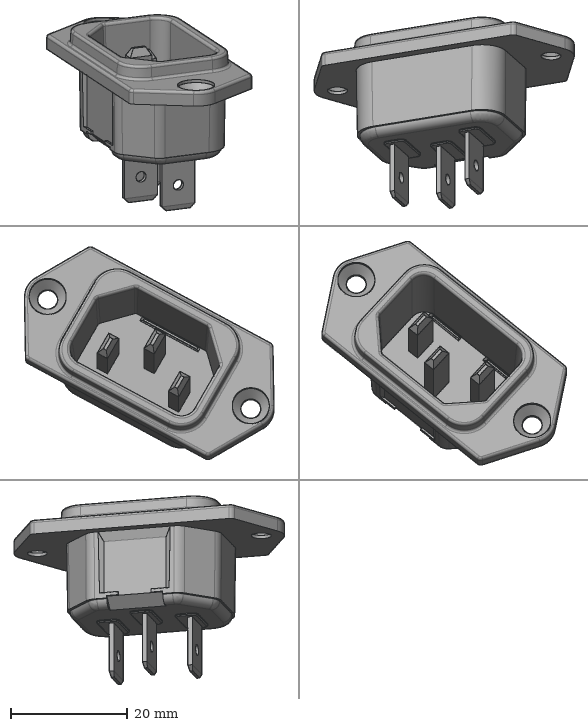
import cadquery as cq
import math

flange_length = 48.0
flange_width = 23.0
flange_thickness = 2.6
flange_edge_round = 0.55
flange_corner_round = 0.95
screw_spacing = 40.0
side_angle = math.radians(60)
screw_hole_diameter = 3.4
countersink_diameter = 6.4
countersink_angle = 90
countersink_recess = 0.55

collar_top = 5.15
collar_length = 28.05
collar_width = 20.55
collar_corner_radius = 4.55
collar_taper = 3.0
collar_rim_round = 0.5
collar_foot_round = 0.5

body_length = 27.6
body_width = 19.55
body_wall_depth = 11.95
body_depth = 13.5
body_chamfer = 5.65
body_front_round = 2.4
body_back_round = 4.4
body_taper = 0.7
base_inset = 0.35
base_round = 1.5

cavity_length = 24.2
cavity_width = 16.4
cavity_depth = 15.85
cavity_chamfer = 5.0
cavity_front_round = 0.7
cavity_back_round = 2.7
cavity_taper = 1.5
mouth_round = 0.55
cavity_floor = collar_top - cavity_depth

slot_depth = 0.95
slot_inner = 6.95
slot_outer = 7.85
slot_bevel = 0.45
front_slot_length = 11.4
back_slot_length = 6.95
back_slot_center = 6.25

contact_pitch = 7.0
contact_row = 1.95
pin_thickness = 2.0
pin_width = 4.1
line_pin_height = 11.8
earth_pin_height = 14.8
pin_tip_thickness = 0.6
pin_tip_width = 2.3
pin_tip_height = 1.45
contacts = [
    (-contact_pitch, contact_row, line_pin_height),
    (0, -contact_row, earth_pin_height),
    (contact_pitch, contact_row, line_pin_height),
]
pad_length = 4.1
pad_width = 8.05
pad_height = 0.4
pad_corner_round = 1.0
pad_bevel = 0.2
tab_offset = 0.6
tab_thickness = 0.8
tab_width = 6.2
tab_bottom = -23.4
tab_tip_chamfer = 0.85
tab_tip_thickness = 0.55
tab_hole_diameter = 1.85
tab_hole_height = -18.95

recess_length = 12.85
recess_floor_length = 11.15
recess_depth = 0.55
recess_slope_height = 1.7
recess_bottom = -10.95
lip_gap = 5.9
notch_length = 10.0
notch_top = -11.5
notch_run = 1.95


def make_flange():
    end_radius = (flange_length - screw_spacing) / 2
    normal_x, normal_y = math.sin(side_angle), math.cos(side_angle)
    half_width = flange_width / 2
    side_distance = screw_spacing / 2 * normal_x + end_radius
    corner_x = (side_distance - half_width * normal_y) / normal_x
    tangent_x = screw_spacing / 2 + end_radius * normal_x
    tangent_y = end_radius * normal_y
    flange = (
        cq.Workplane("XY")
        .moveTo(-corner_x, half_width)
        .lineTo(corner_x, half_width)
        .lineTo(tangent_x, tangent_y)
        .threePointArc((flange_length / 2, 0), (tangent_x, -tangent_y))
        .lineTo(corner_x, -half_width)
        .lineTo(-corner_x, -half_width)
        .lineTo(-tangent_x, -tangent_y)
        .threePointArc((-flange_length / 2, 0), (-tangent_x, tangent_y))
        .close()
        .extrude(flange_thickness)
    )
    flange = flange.edges("|Z").edges(">Y or <Y").fillet(flange_corner_round)
    return flange.faces(">Z").edges().fillet(flange_edge_round)


def make_collar():
    return (
        cq.Workplane("XY")
        .workplane(offset=flange_thickness)
        .sketch()
        .rect(collar_length, collar_width)
        .vertices()
        .fillet(collar_corner_radius)
        .finalize()
        .extrude(collar_top - flange_thickness, taper=collar_taper)
    )


def socket_prism(top, length, width, depth, chamfer, front_round, back_round, taper):
    """Tapered block hanging from height top, its two front corners cut off at 45 degrees."""
    x, y = length / 2, width / 2
    prism = (
        cq.Workplane("XY", origin=(0, 0, top))
        .polyline([
            (-x, y),
            (x, y),
            (x, chamfer - y),
            (x - chamfer, -y),
            (chamfer - x, -y),
            (-x, chamfer - y),
        ])
        .close()
        .extrude(-depth, taper=taper)
    )
    prism = prism.edges("not #Z").edges("not >Y").fillet(front_round)
    return prism.edges("not #Z").edges(">Y").fillet(back_round)


def make_body():
    walls = socket_prism(
        0, body_length, body_width, body_wall_depth,
        body_chamfer, body_front_round, body_back_round, body_taper,
    )
    base = socket_prism(
        0, body_length - 2 * base_inset, body_width - 2 * base_inset, body_depth,
        body_chamfer, body_front_round, body_back_round, body_taper,
    )
    return walls.union(base.faces("<Z").edges().fillet(base_round))


def make_cavity():
    return socket_prism(
        collar_top, cavity_length, cavity_width, cavity_depth,
        cavity_chamfer, cavity_front_round, cavity_back_round, cavity_taper,
    )


def make_slot(center_x, length, side):
    """Cutter for a bevelled floor slot at the back (side = 1) or front (side = -1)."""
    wall_y = side * slot_outer
    rim_y = side * slot_inner
    bevel_y = side * (slot_inner + slot_bevel)
    half_rim = length / 2
    half_bottom = half_rim - slot_bevel

    def outline(plane, half_length, inner_y):
        return plane.polyline([
            (-half_length, wall_y),
            (half_length, wall_y),
            (half_length, inner_y),
            (-half_length, inner_y),
        ]).close()

    floor = cq.Workplane("XY", origin=(center_x, 0, cavity_floor))
    mouth = outline(floor, half_rim, rim_y)
    rim = outline(mouth.workplane(offset=-slot_bevel), half_bottom, bevel_y).loft()
    well = outline(floor, half_bottom, bevel_y).extrude(-slot_depth)
    return rim.union(well)


def make_contact(x, y, pin_height):
    pin = (
        cq.Workplane("XY", origin=(x, y, cavity_floor))
        .rect(pin_thickness, pin_width)
        .extrude(pin_height - pin_tip_height)
    )
    pin_tip = (
        cq.Workplane("XY", origin=(x, y, cavity_floor + pin_height - pin_tip_height))
        .rect(pin_thickness, pin_width)
        .workplane(offset=pin_tip_height)
        .rect(pin_tip_thickness, pin_tip_width)
        .loft()
    )
    pad = (
        cq.Workplane("XY", origin=(x, y, -body_depth - pad_height))
        .rect(pad_length, pad_width)
        .extrude(2 * pad_height)
        .edges("|Z")
        .fillet(pad_corner_round)
        .faces("<Z")
        .chamfer(pad_bevel)
    )
    tab = make_tab().translate((x + tab_offset, y, 0))
    return pin.union(pin_tip).union(pad).union(tab)


def make_tab():
    """Solder tab on X = Y = 0, its lower end bevelled on all four sides."""
    tab_top = -body_depth
    tip_start = tab_bottom + tab_tip_chamfer

    def pointed_outline(plane, width, tip_width):
        x, tip_x = width / 2, tip_width / 2
        return (
            cq.Workplane(plane)
            .polyline([(-x, tab_top), (x, tab_top), (x, tip_start), (tip_x, tab_bottom),
                       (-tip_x, tab_bottom), (-x, tip_start)])
            .close()
        )

    wide_side = pointed_outline("YZ", tab_width, tab_width - 2 * tab_tip_chamfer)
    narrow_side = pointed_outline("XZ", tab_thickness, tab_tip_thickness)
    tab = wide_side.extrude(tab_thickness, both=True).intersect(narrow_side.extrude(tab_width, both=True))
    hole = (
        cq.Workplane("YZ")
        .center(0, tab_hole_height)
        .circle(tab_hole_diameter / 2)
        .extrude(tab_thickness, both=True)
    )
    return tab.cut(hole)


def make_front_recess():
    """Cutter for the window, the gap in the lip under it and the sloping notch at the base."""
    front = -body_width / 2
    floor_y = front + recess_depth
    half_top, half_floor = recess_length / 2, recess_floor_length / 2

    def window_outline(plane, half_length, top):
        return plane.polyline([
            (-half_length, top),
            (half_length, top),
            (half_length, recess_bottom),
            (-half_length, recess_bottom),
        ]).close()

    mouth = window_outline(cq.Workplane("XZ", origin=(0, front, 0)), half_top, 0)
    window = window_outline(mouth.workplane(offset=-recess_depth), half_floor, -recess_slope_height).loft()
    gap = (
        cq.Workplane("XY", origin=(0, front, notch_top))
        .box(lip_gap, recess_depth, recess_bottom - notch_top, centered=(True, False, False))
    )
    notch = (
        cq.Workplane("YZ")
        .polyline([
            (front, notch_top),
            (floor_y, notch_top),
            (floor_y + notch_run, -body_depth),
            (front, -body_depth),
        ])
        .close()
        .extrude(notch_length / 2, both=True)
    )
    return window.union(gap).union(notch)


def fillet_inner_outline(part, face, radius):
    """Round the edges of the single opening or boss outlined inside a flat face."""
    inner_edges = face.val().innerWires()[0].Edges()
    return part.newObject(inner_edges).fillet(radius)


def make_screw_hole():
    """Cutter on the Z axis: through hole, cone and a short straight step at the top."""
    hole_radius, head_radius = screw_hole_diameter / 2, countersink_diameter / 2
    cone_top = flange_thickness - countersink_recess
    cone_bottom = cone_top - (head_radius - hole_radius) / math.tan(math.radians(countersink_angle / 2))
    return (
        cq.Workplane("XZ")
        .polyline([(0, 0), (hole_radius, 0), (hole_radius, cone_bottom), (head_radius, cone_top),
                   (head_radius, flange_thickness), (0, flange_thickness)])
        .close()
        .revolve(360, (0, 0), (0, 1))
    )


housing = make_flange().union(make_collar())
housing = fillet_inner_outline(housing, housing.faces("+Z").faces("<Z"), collar_foot_round)
housing = housing.faces(">Z").edges().fillet(collar_rim_round)
housing = housing.union(make_body()).cut(make_front_recess()).cut(make_cavity())
housing = fillet_inner_outline(housing, housing.faces(">Z"), mouth_round)
for side in (-1, 1):
    housing = housing.cut(make_screw_hole().translate((side * screw_spacing / 2, 0, 0)))

housing = housing.cut(make_slot(0, front_slot_length, -1))
for side in (-1, 1):
    housing = housing.cut(make_slot(side * back_slot_center, back_slot_length, 1))

result = housing
for contact_x, contact_y, pin_height in contacts:
    result = result.union(make_contact(contact_x, contact_y, pin_height))